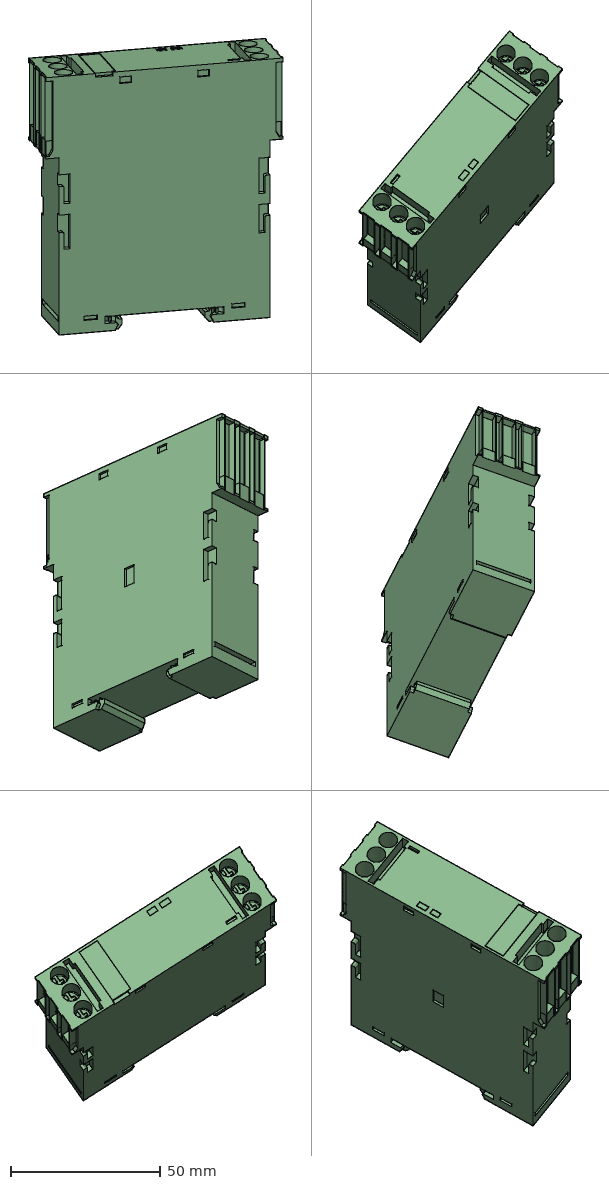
import cadquery as cq

WIDTH = 22.5
HEIGHT = 91.0
HEAD_LENGTH = 82.45
BODY_LENGTH = 73.35
HEAD_BOTTOM = 62.4
SIDE = WIDTH / 2
HEAD_END = HEAD_LENGTH / 2
BODY_END = BODY_LENGTH / 2
OVERCUT = 0.9

RAIL_ROOF = 5.2
RAIL_HALF = 20.7
FOOT_TOP = 4.5
HOOK_TIP = 14.4
FOOT_WALL = 1.4
LATCH_FLOOR = 2.7
LATCH_DEPTH = 2.55
LATCH_RADIUS = 1.2
LATCH_END = 16.65
LATCH_SLOPE_START = 17.8
LATCH_RIB = (18.3, 19.0)

SLIDE_TOP = 6.2
SLIDE_WIDTH = WIDTH - 2 * FOOT_WALL

POLE_PITCH = 7.3
CHANNEL_WIDTH = 4.55
CHANNEL_DEPTH = 2.6
CHANNEL_TOP = 90.0
CHANNEL_SILL = 68.2
LIP_SETBACK = 0.4
GROOVE_BOTTOM = 63.2
GROOVE_TOP = 89.6
GROOVE_DEPTH = 2.5
GROOVE_SLOPE_HEIGHT = 2.2
GROOVE_SLOPE_LENGTH = 1.3
EDGE_GROOVE_WIDTH = 1.4
RIB_GROOVE_CENTRE = 3.55
RIB_GROOVE_WIDTH = 1.9

SCREW_PITCH = 7.1
SCREW_Y = 34.0
SCREW_WELL_RADIUS = 3.1
SCREW_WELL_DEPTH = 9.1
SCREW_RADIUS = 2.6
SCREW_DOME_HEIGHT = 1.1
DRIVE_WIDTH = 1.0
DRIVE_LENGTH = 3.4

COVER_END = 27.3
POCKET_OUTER_Y = 30.4
POCKET_STEP_Y = 28.1
POCKET_WIDTH = 20.75
POCKET_NECK_WIDTH = 15.6
POCKET_DEPTH = 5.5

LAMP_WINDOWS = [(-9.65, -7.7, 7.7, 11.4), (-9.65, -7.7, 2.8, 6.0)]
MARK_RECESS = (8.1, 9.2, 22.8, 26.7)
MARK_DEPTH = 1.4
LAMP_DEPTH = 0.3
LABEL = (-10.3, 9.9, -24.0, -16.7)
LABEL_DEPTH = 0.3
LABEL_NOTCH_TOP_Y = -17.9
LABEL_NOTCH_DEPTH = 1.3

WINDOW_DEPTH = 0.8
COVER_WINDOW = (11.6, 15.6, 86.8, 89.1)
FOOT_WINDOW = (23.4, 28.0, 4.5, 5.9)
CODING_WINDOW = (-0.55, 3.7, 41.5, 48.5)

CATCH_DEPTH = 2.1
CATCH_LENGTH = 3.8
CATCH_TONGUE = 1.7
CATCH_RADIUS = 0.6
CATCHES = [
    (1, 56.4, 50.2, 43.95),
    (1, 40.1, 36.0, 30.1),
    (-1, 56.4, 52.3, 46.1),
    (-1, 42.2, 36.0, 30.1),
]

ENDS = (-1, 1)
SIDES = (-1, 1)


def box(x0, x1, y0, y1, z0, z1):
    """Box between two limits on each axis, given in any order."""
    size = (abs(x1 - x0), abs(y1 - y0), abs(z1 - z0))
    return cq.Workplane("XY").box(*size).translate(((x0 + x1) / 2, (y0 + y1) / 2, (z0 + z1) / 2))


def prism_along_x(points, x0, x1):
    """Extrude a closed Y-Z outline from x0 to x1."""
    return cq.Workplane("YZ").polyline(points).close().extrude(x1 - x0).translate((x0, 0, 0))


def mirrored(points):
    """Mirror a Y-Z outline to the opposite end, keeping it a continuous path."""
    return [(-y, z) for y, z in reversed(points)]


def housing():
    """T-shaped body with the rail seat and two hooked feet."""
    half = [
        (HEAD_END, HEIGHT),
        (HEAD_END, HEAD_BOTTOM),
        (BODY_END, HEAD_BOTTOM),
        (BODY_END, 0),
        (15.7, 0),
        (HOOK_TIP, 1.7),
        (HOOK_TIP, 3.5),
        (15.5, 3.55),
        (16.1, 3.9),
        (16.1, FOOT_TOP),
        (RAIL_HALF, FOOT_TOP),
        (RAIL_HALF, RAIL_ROOF),
    ]
    return prism_along_x(half + mirrored(half), -SIDE, SIDE)


def foot_relief(end, side):
    """Trim the foot wall back from the hook and open the latch pocket above it."""
    wall_edge = [
        (HOOK_TIP - OVERCUT, -OVERCUT),
        (17.1, -OVERCUT),
        (17.1, 0),
        (16.7, 1.0),
        (16.1, 2.0),
        (LATCH_END, LATCH_FLOOR),
        (LATCH_END, FOOT_TOP),
        (HOOK_TIP - OVERCUT, FOOT_TOP),
    ]
    trim = prism_along_x([(end * y, z) for y, z in wall_edge], SIDE - FOOT_WALL, SIDE + OVERCUT)

    floor_x = SIDE - LATCH_DEPTH
    latch = (
        cq.Workplane("XY")
        .workplane(offset=LATCH_FLOOR)
        .moveTo(SIDE + OVERCUT, LATCH_END)
        .lineTo(SIDE - FOOT_WALL, LATCH_END)
        .lineTo(floor_x, LATCH_SLOPE_START)
        .lineTo(floor_x, RAIL_HALF - LATCH_RADIUS)
        .radiusArc((floor_x + LATCH_RADIUS, RAIL_HALF), LATCH_RADIUS)
        .lineTo(SIDE + OVERCUT, RAIL_HALF)
        .close()
        .extrude(RAIL_ROOF - LATCH_FLOOR)
    )
    latch = latch.cut(box(floor_x, SIDE - FOOT_WALL, *LATCH_RIB, LATCH_FLOOR, FOOT_TOP))
    if end < 0:
        latch = latch.mirror("XZ")
    cutter = trim.union(latch)
    return cutter if side > 0 else cutter.mirror("YZ")


def slide_slot(end):
    half = SLIDE_WIDTH / 2
    return box(-half, half, end * RAIL_HALF, end * (BODY_END + OVERCUT), FOOT_TOP, SLIDE_TOP)


def wire_channel(end, x):
    """Deep channel with a raised sill below and a slightly set-back lip above."""
    x0 = x - CHANNEL_WIDTH / 2
    x1 = x + CHANNEL_WIDTH / 2
    outside = end * (HEAD_END + OVERCUT)
    channel = box(x0, x1, end * (HEAD_END - CHANNEL_DEPTH), outside, CHANNEL_SILL, CHANNEL_TOP)
    lip = box(x0, x1, end * (HEAD_END - LIP_SETBACK), outside, HEAD_BOTTOM - OVERCUT, HEIGHT + OVERCUT)
    return channel.union(lip)


def rib_groove(end, x):
    x0 = x - RIB_GROOVE_WIDTH / 2
    x1 = x + RIB_GROOVE_WIDTH / 2
    floor = end * (HEAD_END - GROOVE_DEPTH)
    return box(x0, x1, floor, end * (HEAD_END + OVERCUT), GROOVE_BOTTOM, GROOVE_TOP)


def edge_groove(end, side):
    """Groove along a vertical head edge, with a sloping foot."""
    inner = HEAD_END - GROOVE_DEPTH
    outline = [
        (HEAD_END + OVERCUT, GROOVE_TOP),
        (inner, GROOVE_TOP),
        (inner, GROOVE_BOTTOM + GROOVE_SLOPE_HEIGHT),
        (inner + GROOVE_SLOPE_LENGTH, GROOVE_BOTTOM),
        (HEAD_END + OVERCUT, GROOVE_BOTTOM),
    ]
    cutter = prism_along_x([(end * y, z) for y, z in outline], SIDE - EDGE_GROOVE_WIDTH, SIDE + OVERCUT)
    return cutter if side > 0 else cutter.mirror("YZ")


def screw_well(x, y):
    floor = HEIGHT - SCREW_WELL_DEPTH
    outline = cq.Workplane("XY", origin=(x, y, floor)).circle(SCREW_WELL_RADIUS)
    return outline.extrude(SCREW_WELL_DEPTH + OVERCUT)


def screw_head(x, y):
    """Domed screw head with a slot across it and a shorter cross slot."""
    floor = HEIGHT - SCREW_WELL_DEPTH
    sphere_radius = (SCREW_RADIUS**2 + SCREW_DOME_HEIGHT**2) / (2 * SCREW_DOME_HEIGHT)
    crown = floor + SCREW_DOME_HEIGHT
    ball = cq.Workplane("XY").sphere(sphere_radius).translate((x, y, crown - sphere_radius))
    blank = cq.Workplane("XY", origin=(x, y, floor - OVERCUT)).circle(SCREW_RADIUS)
    dome = blank.extrude(OVERCUT + SCREW_DOME_HEIGHT).intersect(ball)
    half = DRIVE_WIDTH / 2
    slot = box(x - SCREW_RADIUS, x + SCREW_RADIUS, y - half, y + half, floor, HEIGHT)
    cross = box(x - half, x + half, y - DRIVE_LENGTH / 2, y + DRIVE_LENGTH / 2, floor, HEIGHT)
    return dome.cut(slot).cut(cross)


def release_pocket(end):
    """Wide pocket with a narrower neck reaching the cover joint."""
    bottom = HEIGHT - POCKET_DEPTH
    top = HEIGHT + OVERCUT
    wide = POCKET_WIDTH / 2
    neck = POCKET_NECK_WIDTH / 2
    pocket = box(-wide, wide, end * POCKET_STEP_Y, end * POCKET_OUTER_Y, bottom, top)
    return pocket.union(box(-neck, neck, end * COVER_END, end * POCKET_OUTER_Y, bottom, top))


def top_recess(limits, depth):
    return box(*limits, HEIGHT - depth, HEIGHT + OVERCUT)


def side_window(side, limits):
    return box(side * (SIDE - WINDOW_DEPTH), side * (SIDE + OVERCUT), *limits)


def edge_catch(side, end, top, tongue_top, bottom):
    """Corner recess that wraps behind a flush tongue with a rounded tip."""
    inner = BODY_END - CATCH_LENGTH
    tongue = BODY_END - CATCH_TONGUE
    cutter = (
        cq.Workplane("YZ")
        .moveTo(BODY_END + OVERCUT, top)
        .lineTo(inner, top)
        .lineTo(inner, bottom)
        .lineTo(tongue, bottom)
        .lineTo(tongue, tongue_top - CATCH_RADIUS)
        .radiusArc((tongue + CATCH_RADIUS, tongue_top), CATCH_RADIUS)
        .lineTo(BODY_END + OVERCUT, tongue_top)
        .close()
        .extrude(CATCH_DEPTH + OVERCUT)
        .translate((SIDE - CATCH_DEPTH, 0, 0))
    )
    if end < 0:
        cutter = cutter.mirror("XZ")
    return cutter if side > 0 else cutter.mirror("YZ")


result = housing()

for end in ENDS:
    result = result.cut(slide_slot(end)).cut(release_pocket(end))
    for pole in (-1, 0, 1):
        result = result.cut(wire_channel(end, pole * POLE_PITCH))
        result = result.cut(screw_well(pole * SCREW_PITCH, end * SCREW_Y))
        result = result.union(screw_head(pole * SCREW_PITCH, end * SCREW_Y))
    for side in SIDES:
        result = result.cut(rib_groove(end, side * RIB_GROOVE_CENTRE))
        result = result.cut(edge_groove(end, side))
        result = result.cut(foot_relief(end, side))

for window in LAMP_WINDOWS:
    result = result.cut(top_recess(window, LAMP_DEPTH))
result = result.cut(top_recess(MARK_RECESS, MARK_DEPTH))
label_notch = (LABEL[1], SIDE + OVERCUT, LABEL[2], LABEL_NOTCH_TOP_Y)
result = result.cut(top_recess(LABEL, LABEL_DEPTH))
result = result.cut(top_recess(label_notch, LABEL_NOTCH_DEPTH))

result = result.cut(side_window(-1, CODING_WINDOW))
for side in SIDES:
    for end in ENDS:
        for y_inner, y_outer, z_low, z_high in (COVER_WINDOW, FOOT_WINDOW):
            result = result.cut(side_window(side, (end * y_inner, end * y_outer, z_low, z_high)))
    for catch in CATCHES:
        result = result.cut(edge_catch(side, *catch))